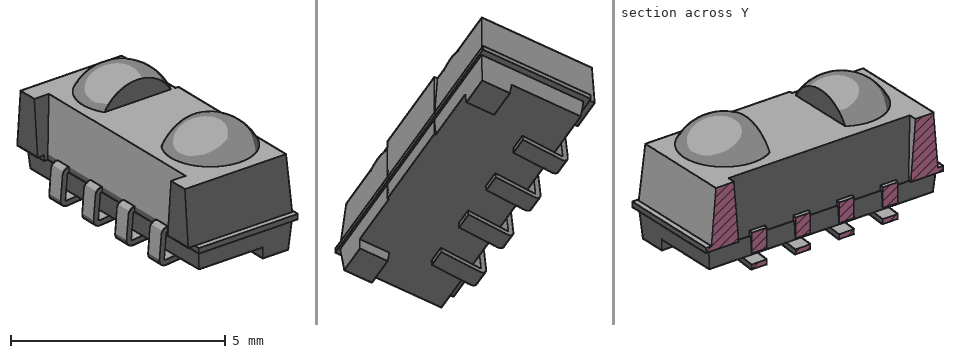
import cadquery as cq
import math

LENGTH = 6.9
DRAFT = math.tan(math.radians(5))

BASE_BOTTOM = 0.31
FLANGE_BOTTOM = 0.855
FLANGE_TOP = 1.0
BODY_TOP = 2.49
DOME_TOP = 3.2

HALF_WIDTH = 3.3
FRONT = -3.1
REAR = -0.05
BODY_REAR_INSET = 0.08
BASE_REAR_INSET = 0.06
CENTRE_HALF_WIDTH = 1.1
RECESS_HALF_WIDTH = 2.505
RECESS_FACE = -2.8
FLANGE_FRONT = -2.905
BASE_FRONT = -2.795
FOOT_INNER_X = 2.455
FOOT_FRONT = -0.88

DOME_X = 1.705
DOME_Y = -1.24
DOME_RADIUS = 1.145
DOME_HEIGHT = DOME_TOP - BODY_TOP

LEAD_COUNT = 4
LEAD_PITCH = 1.27
LEAD_WIDTH = 0.44
LEAD_THICKNESS = FLANGE_TOP - FLANGE_BOTTOM
LEAD_SPLAY = math.radians(5)
LEAD_ROOT = -2.62
LEAD_SHOULDER = -2.98
LEAD_FOOT_LENGTH = 1.235
BEND_INNER = 0.035
BEND_OUTER = BEND_INNER + LEAD_THICKNESS


def prism_x(points, half_width):
    """Extrude a (y, z) outline symmetrically along X."""
    return cq.Workplane("YZ").polyline(points).close().extrude(half_width, both=True)


def prism_y(points):
    """Extrude an (x, z) outline along Y, through the whole part."""
    return cq.Workplane("XZ").polyline(points).close().extrude(LENGTH, both=True)


def block(half_width, front, rear, bottom, top):
    """Box centred on x = 0."""
    return (cq.Workplane("XY").box(2 * half_width, rear - front, top - bottom, centered=(True, False, False))
            .translate((0, front, bottom)))


def trapezoid(bottom_half, top_half, bottom, top):
    return [(-bottom_half, bottom), (bottom_half, bottom), (top_half, top), (-top_half, top)]


def make_recess():
    inset = DRAFT * (BODY_TOP - FLANGE_TOP)
    ends = prism_y(trapezoid(RECESS_HALF_WIDTH, RECESS_HALF_WIDTH + inset, FLANGE_TOP, BODY_TOP))
    depth = prism_x([(RECESS_FACE, FLANGE_TOP), (RECESS_FACE + inset, BODY_TOP),
                     (FRONT, BODY_TOP), (FRONT, FLANGE_TOP)], HALF_WIDTH + inset)
    return ends.intersect(depth)


def make_body():
    inset = DRAFT * (BODY_TOP - FLANGE_TOP)
    ends = prism_y(trapezoid(HALF_WIDTH, HALF_WIDTH - inset, FLANGE_TOP, BODY_TOP))
    walls = prism_x([(FRONT, FLANGE_TOP), (REAR, FLANGE_TOP),
                     (REAR - BODY_REAR_INSET, BODY_TOP), (FRONT, BODY_TOP)], HALF_WIDTH)
    centre = block(CENTRE_HALF_WIDTH, DOME_Y, REAR, FLANGE_TOP, BODY_TOP)
    return ends.intersect(walls).union(centre).cut(make_recess())


def make_flange():
    plate = block(LENGTH / 2, FLANGE_FRONT, 0, FLANGE_BOTTOM, FLANGE_TOP)
    return plate.cut(block(RECESS_HALF_WIDTH, FLANGE_FRONT, RECESS_FACE, FLANGE_BOTTOM, FLANGE_TOP))


def make_base():
    """Drafted underside with a foot at each rear corner."""
    ends = prism_y(trapezoid(HALF_WIDTH - DRAFT * FLANGE_BOTTOM, HALF_WIDTH, 0, FLANGE_BOTTOM))
    foot_inset = DRAFT * BASE_BOTTOM
    walls = prism_x([(BASE_FRONT, FLANGE_BOTTOM),
                     (BASE_FRONT + DRAFT * (FLANGE_BOTTOM - BASE_BOTTOM), BASE_BOTTOM),
                     (FOOT_FRONT, BASE_BOTTOM), (FOOT_FRONT + foot_inset, 0),
                     (REAR - BASE_REAR_INSET, 0), (REAR, FLANGE_BOTTOM)], HALF_WIDTH)
    gap = prism_y(trapezoid(FOOT_INNER_X + foot_inset, FOOT_INNER_X, 0, BASE_BOTTOM))
    centre = block(CENTRE_HALF_WIDTH, DOME_Y, REAR, BASE_BOTTOM, FLANGE_BOTTOM)
    return ends.intersect(walls).cut(gap).union(centre)


def make_dome(side):
    """Spherical cap, cut flat towards the centre and trimmed by the sloping rear wall."""
    sphere_radius = (DOME_RADIUS**2 + DOME_HEIGHT**2) / (2 * DOME_HEIGHT)
    sphere = cq.Workplane("XY").sphere(sphere_radius).translate((side * DOME_X, DOME_Y, DOME_TOP - sphere_radius))
    rear_top = REAR - BODY_REAR_INSET
    slope = BODY_REAR_INSET / (BODY_TOP - FLANGE_TOP)
    envelope = prism_x([(FRONT, BODY_TOP), (rear_top, BODY_TOP),
                        (rear_top - slope * DOME_HEIGHT, DOME_TOP), (FRONT, DOME_TOP)], LENGTH / 2)
    return sphere.intersect(envelope).cut(block(CENTRE_HALF_WIDTH, FRONT, 0, BODY_TOP, DOME_TOP))


def make_lead(x):
    """Bent strip: out of the flange, down, then back under the base."""
    sin_splay = math.sin(LEAD_SPLAY)
    cos_splay = math.cos(LEAD_SPLAY)
    heel_z = -BEND_OUTER * (cos_splay + sin_splay - 1)
    heel_y = LEAD_SHOULDER - math.tan(LEAD_SPLAY) * (FLANGE_TOP - heel_z)
    shoulder_miter = LEAD_THICKNESS * math.tan((math.pi / 2 - LEAD_SPLAY) / 2)

    def from_heel(along, up):
        """Point at a distance along the foot and up the leg from the heel corner."""
        return heel_y + along * cos_splay + up * sin_splay, heel_z + along * sin_splay + up * cos_splay

    outline = [(LEAD_ROOT, FLANGE_TOP), (LEAD_SHOULDER, FLANGE_TOP), from_heel(0, 0),
               from_heel(LEAD_FOOT_LENGTH, 0), from_heel(LEAD_FOOT_LENGTH, LEAD_THICKNESS),
               from_heel(LEAD_THICKNESS, LEAD_THICKNESS),
               (LEAD_SHOULDER + shoulder_miter, FLANGE_BOTTOM), (LEAD_ROOT, FLANGE_BOTTOM)]

    def corner(point):
        return cq.selectors.NearestToPointSelector((0, *point))

    lead = prism_x(outline, LEAD_WIDTH / 2)
    for index, radius in ((1, BEND_OUTER), (2, BEND_OUTER), (5, BEND_INNER), (6, BEND_INNER)):
        lead = lead.edges("|X").edges(corner(outline[index])).fillet(radius)
    return lead.translate((x, 0, 0))


result = make_body().union(make_flange()).union(make_base())
for side in (-1, 1):
    result = result.union(make_dome(side))
for i in range(LEAD_COUNT):
    result = result.union(make_lead((i - (LEAD_COUNT - 1) / 2) * LEAD_PITCH))